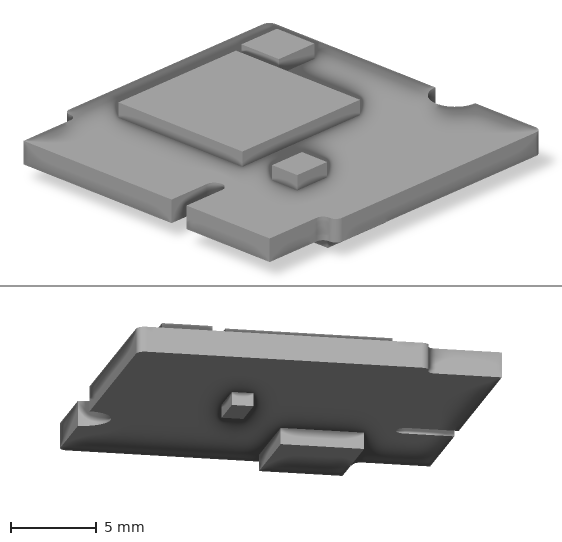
import cadquery as cq

board_side = 22.0
board_thickness = 1.52
corner_radius = 0.5

tab_inset = 1.08
tab_length = 4.5

key_center_x = 13.62
key_width = 1.2
key_depth = 3.6

notch_center_x = 15.0
notch_radius = 1.6

tall_height = 1.0
low_height = 0.8

top_components = [
    ((2.5, 17.0), (3.01, 3.01, tall_height)),
    ((2.88, 6.15), (9.99, 9.99, tall_height)),
    ((15.45, 5.98), (2.02, 2.53, tall_height)),
]
bottom_components = [
    ((7.5, 13.46), (2.84, 1.3, low_height)),
    ((14.55, 5.32), (6.0, 5.0, tall_height)),
]


def make_board():
    """Square board narrowed to the tab, with rounded shoulders and upper corners."""
    tab_right = board_side - tab_inset
    outline = [
        (tab_inset, 0),
        (tab_right, 0),
        (tab_right, tab_length),
        (board_side, tab_length),
        (board_side, board_side),
        (0, board_side),
        (0, tab_length),
        (tab_inset, tab_length),
    ]
    blank = cq.Workplane("XY").polyline(outline).close().extrude(-board_thickness)
    rounded_edges = cq.selectors.BoxSelector(
        (-0.22, tab_length / 2, -board_thickness),
        (board_side + 0.22, board_side + 0.22, 0),
    )
    return blank.edges("|Z").edges(rounded_edges).fillet(corner_radius)


def make_key_slot():
    """Slot open at the -Y side; half of its length lies outside the board."""
    return (
        cq.Workplane("XY")
        .center(key_center_x, 0)
        .slot2D(2 * key_depth, key_width, 90)
        .extrude(-board_thickness)
    )


def make_notch():
    """Cylinder centred on the +Y edge."""
    return (
        cq.Workplane("XY")
        .center(notch_center_x, board_side)
        .circle(notch_radius)
        .extrude(-board_thickness)
    )


def make_component(corner, size, base_z):
    """Rectangular package with its lowest face at base_z."""
    block = cq.Workplane("XY").box(*size, centered=False)
    return block.translate((corner[0], corner[1], base_z))


result = make_board().cut(make_key_slot()).cut(make_notch())
for corner, size in top_components:
    result = result.union(make_component(corner, size, 0))
for corner, size in bottom_components:
    component_height = size[2]
    result = result.union(make_component(corner, size, -board_thickness - component_height))